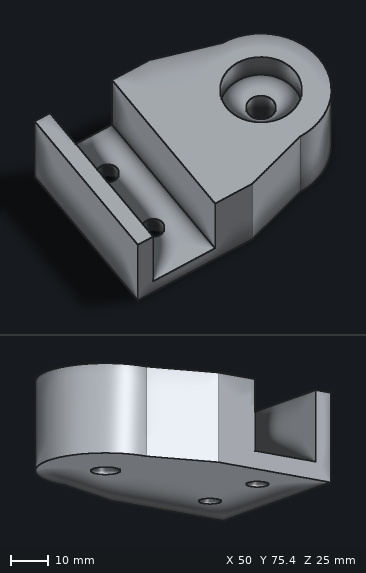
import cadquery as cq

width = 50.0
length = 75.4
height = 25.0

end_radius = 18.9
end_center_y = length - end_radius
straight_side_length = 37.0

bore_diameter = 8.0
counterbore_diameter = 22.0
counterbore_depth = 8.0

lip_thickness = 5.0
channel_width = 20.0
channel_floor = 5.0

mount_diameter = 6.0
mount_left_x = -12.0
mount_right_x = 10.0
mount_y = lip_thickness + channel_width / 2


def make_body():
    """Plate with straight sides tapering to a semicircular end."""
    half_width = width / 2
    return (
        cq.Workplane("XY")
        .moveTo(-half_width, 0)
        .lineTo(half_width, 0)
        .lineTo(half_width, straight_side_length)
        .lineTo(end_radius, end_center_y)
        .threePointArc((0, length), (-end_radius, end_center_y))
        .lineTo(-half_width, straight_side_length)
        .close()
        .extrude(height)
    )


def cut_channel(body):
    """Open the full-width channel from the top face."""
    channel = cq.Workplane("XY").box(
        width, channel_width, height - channel_floor, centered=(True, False, False)
    )
    return body.cut(channel.translate((0, lip_thickness, channel_floor)))


def cut_bore(body):
    """Counterbored through hole, concentric with the rounded end."""
    return (
        body.faces(">Z")
        .workplane(origin=(0, end_center_y, height))
        .cboreHole(bore_diameter, counterbore_diameter, counterbore_depth)
    )


def cut_mounting_holes(body):
    """Two plain holes through the channel floor."""
    holes = (
        cq.Workplane("XY")
        .pushPoints([(mount_left_x, mount_y), (mount_right_x, mount_y)])
        .circle(mount_diameter / 2)
        .extrude(channel_floor)
    )
    return body.cut(holes)


result = cut_mounting_holes(cut_bore(cut_channel(make_body())))